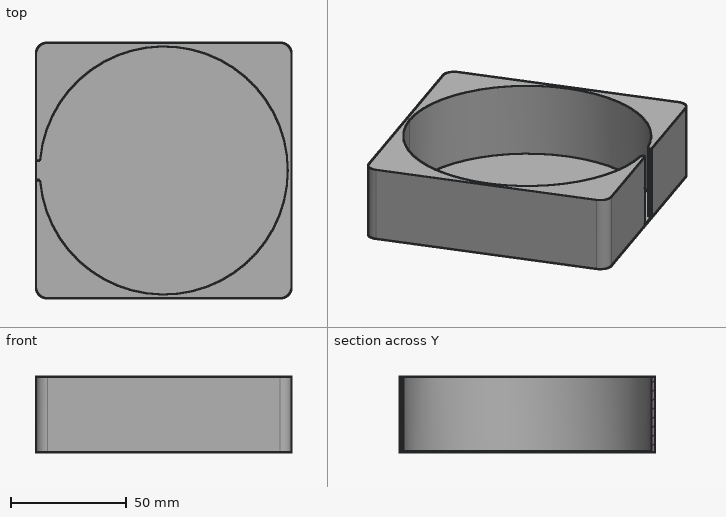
import math

import cadquery as cq

side = 110.4
height = 32.6
corner_radius = 5.0

pocket_radius = 53.5
floor_thickness = 0.6
pocket_depth = height - floor_thickness

notch_width = 8.0
notch_chamfer = 0.75


def tray_body():
    block = cq.Workplane("XY").box(side, side, height, centered=(True, True, False))
    return block.edges("|Z").fillet(corner_radius)


def floor_plane():
    return cq.Workplane("XY", origin=(0, 0, floor_thickness))


def round_pocket():
    return floor_plane().circle(pocket_radius).extrude(pocket_depth)


def wall_notch():
    """Slot down to the pocket floor, widened at 45 degrees on the outer face and on the pocket wall."""
    throat_y = notch_width / 2
    mouth_y = throat_y + notch_chamfer
    outer_x = -side / 2
    pocket_x = -math.sqrt(pocket_radius**2 - mouth_y**2)
    outline = [
        (outer_x, -mouth_y),
        (outer_x + notch_chamfer, -throat_y),
        (pocket_x - notch_chamfer, -throat_y),
        (pocket_x, -mouth_y),
        (pocket_x, mouth_y),
        (pocket_x - notch_chamfer, throat_y),
        (outer_x + notch_chamfer, throat_y),
        (outer_x, mouth_y),
    ]
    return floor_plane().polyline(outline).close().extrude(pocket_depth)


result = tray_body().cut(round_pocket()).cut(wall_notch())